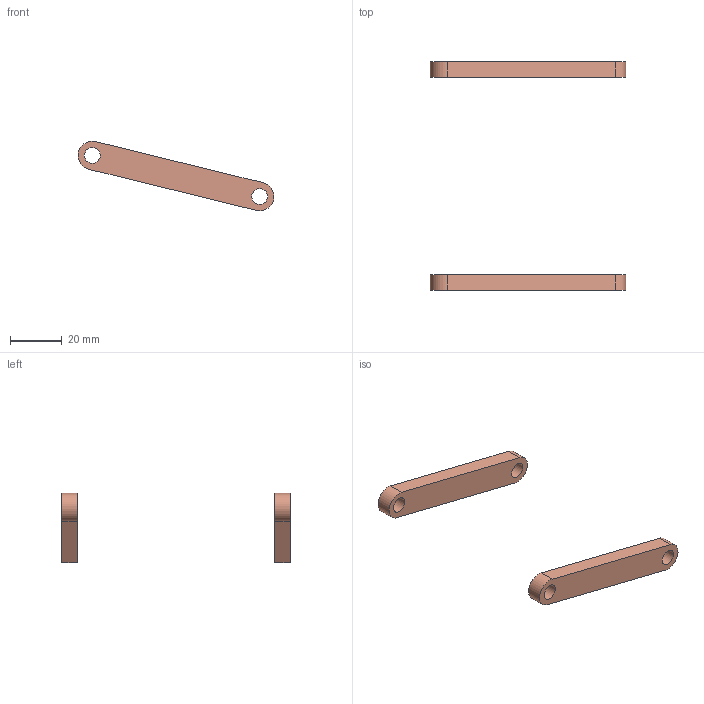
import cadquery as cq
import math

BAR_WIDTH = 11.0
BAR_THICKNESS = 6.0
HOLE_DIAMETER = 6.1
HOLE_RUN_X = 64.39
HOLE_DROP_Z = 15.86

OVERALL_Y = 88.0

hole_spacing = math.hypot(HOLE_RUN_X, HOLE_DROP_Z)
bar_tilt = math.degrees(math.atan2(HOLE_DROP_Z, HOLE_RUN_X))
bar_offset_y = (OVERALL_Y - BAR_THICKNESS) / 2


def make_link_bar(center_y):
    """Build one tilted link bar whose mid-thickness plane is at center_y."""
    level_bar = (
        cq.Workplane("XZ", origin=(0, BAR_THICKNESS / 2, 0))
        .slot2D(hole_spacing + BAR_WIDTH, BAR_WIDTH)
        .extrude(BAR_THICKNESS)
        .faces("<Y")
        .workplane(centerOption="CenterOfBoundBox")
        .pushPoints([(-hole_spacing / 2, 0), (hole_spacing / 2, 0)])
        .hole(HOLE_DIAMETER)
    )
    tilted_bar = level_bar.rotate((0, 0, 0), (0, 1, 0), bar_tilt)
    return tilted_bar.translate((0, center_y, 0))


link_bars = [make_link_bar(side * bar_offset_y) for side in (-1, 1)]

result = cq.Compound.makeCompound([bar.val() for bar in link_bars])